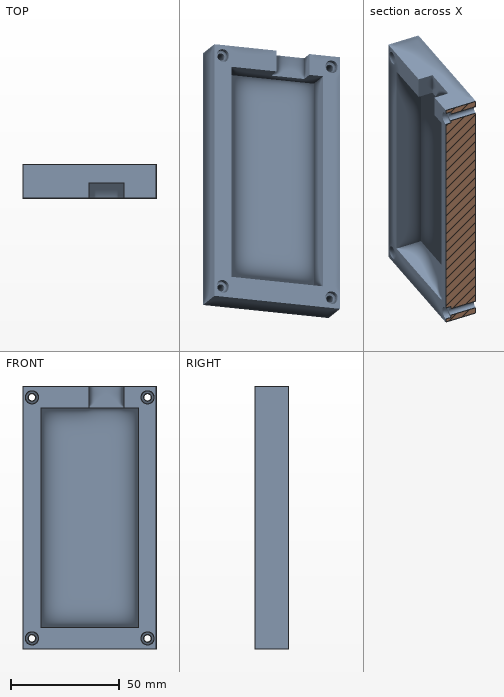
import cadquery as cq

WIDTH = 61.48
DEPTH = 15.6
HEIGHT = 121.01

POCKET_WIDTH = 45.0
POCKET_HEIGHT = 101.01
BACK_THICKNESS = 3.0
POCKET_DEPTH = DEPTH - BACK_THICKNESS

NOTCH_WIDTH = 16.0
NOTCH_DEPTH = 7.1
NOTCH_SIDE_OFFSET = 15.0
NOTCH_CENTRE_X = WIDTH / 2 - NOTCH_SIDE_OFFSET - NOTCH_WIDTH / 2

HOLE_DIAMETER = 3.4
COUNTERBORE_DIAMETER = 6.0
COUNTERBORE_DEPTH = 2.6

SIDE_WALL = (WIDTH - POCKET_WIDTH) / 2
END_WALL = (HEIGHT - POCKET_HEIGHT) / 2
HOLE_SPACING_X = WIDTH - SIDE_WALL
HOLE_SPACING_Z = HEIGHT - END_WALL

FRONT_Y = -DEPTH / 2


def box_from_front(width, depth, height, centre_x=0, centre_z=0):
    """Box that starts at the open face and runs back towards +Y."""
    box = cq.Workplane("XY").box(width, depth, height)
    return box.translate((centre_x, FRONT_Y + depth / 2, centre_z))


def make_pocket():
    return box_from_front(POCKET_WIDTH, POCKET_DEPTH, POCKET_HEIGHT)


def make_notch():
    notch_centre_z = (HEIGHT - END_WALL) / 2
    return box_from_front(NOTCH_WIDTH, NOTCH_DEPTH, END_WALL, NOTCH_CENTRE_X, notch_centre_z)


def cylinders_from_front(diameter, depth):
    """Four corner cylinders that start at the open face and run back towards +Y."""
    front_plane = cq.Workplane("XZ", origin=(0, FRONT_Y, 0))
    centres = front_plane.rect(HOLE_SPACING_X, HOLE_SPACING_Z, forConstruction=True).vertices()
    return centres.circle(diameter / 2).extrude(-depth)


def make_case():
    case = box_from_front(WIDTH, DEPTH, HEIGHT)
    case = case.cut(make_pocket())
    case = case.cut(make_notch())
    case = case.cut(cylinders_from_front(HOLE_DIAMETER, DEPTH))
    return case.cut(cylinders_from_front(COUNTERBORE_DIAMETER, COUNTERBORE_DEPTH))


result = make_case()